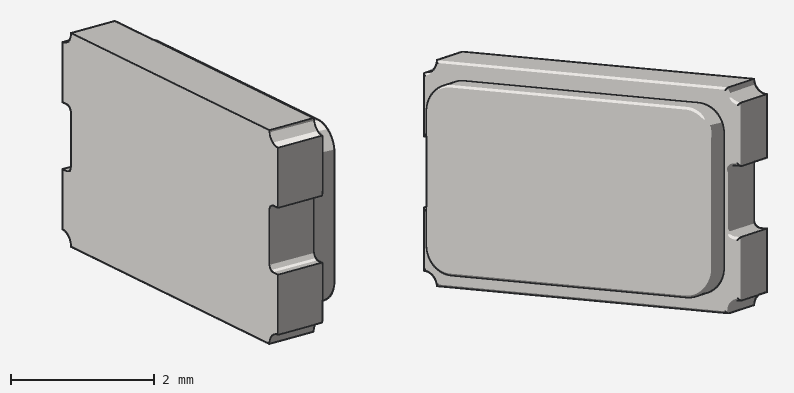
import cadquery as cq

BASE_LENGTH = 5.0
BASE_HEIGHT = 3.2
BASE_THICKNESS = 0.8
BASE_EDGE_RADIUS = 0.05
CORNER_CUT_RADIUS = 0.2

NOTCH_DEPTH = 0.2
NOTCH_HEIGHT = 1.0
NOTCH_CORNER_RADIUS = 0.1

LID_MARGIN = 0.25
LID_LENGTH = BASE_LENGTH - 2 * LID_MARGIN
LID_HEIGHT = BASE_HEIGHT - 2 * LID_MARGIN
LID_THICKNESS = 0.4
LID_CORNER_RADIUS = 0.4
LID_EDGE_RADIUS = 0.05


def xz_plane(y):
    """Sketch plane at depth y; extrusions grow toward +Y."""
    return cq.Workplane(cq.Plane(origin=(0, y, 0), xDir=(1, 0, 0), normal=(0, 1, 0)))


def make_corner_cuts():
    """Round cutters centred on the four corners of the base."""
    return (
        xz_plane(0)
        .rect(BASE_LENGTH, BASE_HEIGHT, forConstruction=True)
        .vertices()
        .circle(CORNER_CUT_RADIUS)
        .extrude(BASE_THICKNESS)
    )


def make_end_notches():
    """Cutters centred on both short ends, with rounded inner corners."""
    end_x = BASE_LENGTH / 2
    return (
        xz_plane(0)
        .pushPoints([(-end_x, 0), (end_x, 0)])
        .rect(2 * NOTCH_DEPTH, NOTCH_HEIGHT)
        .extrude(BASE_THICKNESS)
        .edges("|Y")
        .fillet(NOTCH_CORNER_RADIUS)
    )


def make_base():
    """Notched block with its back outline rounded over."""
    block = xz_plane(0).rect(BASE_LENGTH, BASE_HEIGHT).extrude(BASE_THICKNESS)
    notched = block.cut(make_corner_cuts()).cut(make_end_notches())
    return notched.faces(">Y").edges().fillet(BASE_EDGE_RADIUS)


def make_lid():
    """Plate with round corners and a rounded back rim."""
    plate = xz_plane(BASE_THICKNESS).rect(LID_LENGTH, LID_HEIGHT).extrude(LID_THICKNESS)
    rounded = plate.edges("|Y").fillet(LID_CORNER_RADIUS)
    return rounded.faces(">Y").edges().fillet(LID_EDGE_RADIUS)


result = make_base().union(make_lid())